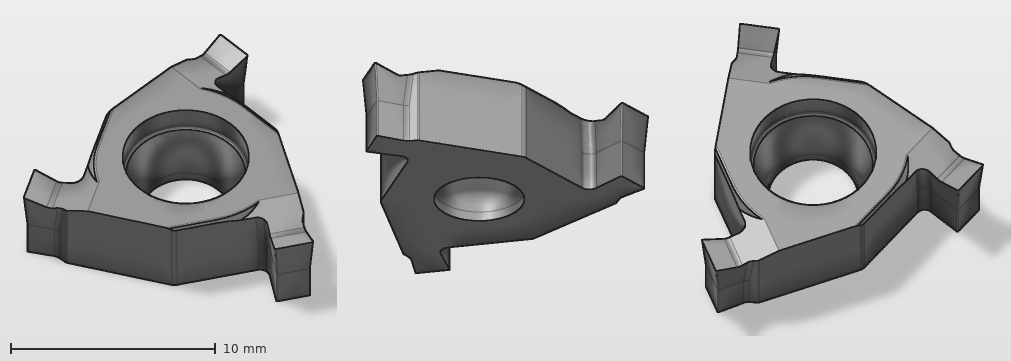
import cadquery as cq
import math

ARM_COUNT = 3
ARM_PITCH = 360 / ARM_COUNT

height = 4.08
long_flat = 4.77
short_flat = 4.5
corner_radius = 0.5
corner_pick = 0.15

arm_top = 3.99
relief_start = 1.97
side_relief = 0.12
front_relief = 0.15
tip_y = 6.9
tip_left = -4.71
tip_right = -2.75
tip_corner_radius = 0.06
flank_taper = 0.055
step_y = 4.7
step_angle = 26
step_outer_radius = 0.19
step_inner_radius = 0.58
root_radius = 0.48
arm_overlap = 0.58

groove_start = 3.63
valley_start = 5.47
valley_end = 5.76
valley_edge_z = 3.57
valley_z = 3.54
clearance = 0.72
reach = 8.64

bevel_width = 0.23
bevel_break = 0.13
bevel_break_drop = 0.03
bevel_drop = 0.122
cone_radius = 4.46
cone_x = -0.4
cone_bottom = 2.88

hole_diameter = 4.4
bore_diameter = 6.16
seat_diameter = 5.83
bore_floor = 3.01
seat_top = 2.84
seat_bottom = 0.5
seat_crown = 0.25
floor_hollow = 0.05


def around(shape):
    """Repeat an arm feature about the Z axis."""
    copies = shape
    for index in range(1, ARM_COUNT):
        copies = copies.union(shape.rotate((0, 0, 0), (0, 0, 1), index * ARM_PITCH))
    return copies


def flat_prism(flat_x, flat_y):
    """Prism bounded by the long flat at -X and the short flat at +Y."""
    return (
        cq.Workplane("XY")
        .moveTo(flat_x, flat_y)
        .lineTo(reach, flat_y)
        .lineTo(reach, -reach)
        .lineTo(flat_x, -reach)
        .close()
        .extrude(height)
    )


def make_body():
    prism = flat_prism(-long_flat, short_flat)
    body = prism
    for index in range(1, ARM_COUNT):
        body = body.intersect(prism.rotate((0, 0, 0), (0, 0, 1), index * ARM_PITCH))

    corner_x = 2 * long_flat - math.sqrt(3) * short_flat
    for index in range(ARM_COUNT):
        angle = math.radians(index * ARM_PITCH)
        x = corner_x * math.cos(angle) - short_flat * math.sin(angle)
        y = corner_x * math.sin(angle) + short_flat * math.cos(angle)
        corner = cq.selectors.BoxSelector(
            (x - corner_pick, y - corner_pick, 0), (x + corner_pick, y + corner_pick, height)
        )
        body = body.edges("|Z").edges(corner).fillet(corner_radius)
    return body


def rounded_corner(outline, before, corner, after, radius):
    """Draw up to a corner and round it with an arc tangent to both of its sides."""
    corner = cq.Vector(*corner)
    back = (cq.Vector(*before) - corner).normalized()
    ahead = (cq.Vector(*after) - corner).normalized()
    half_angle = back.getAngle(ahead) / 2
    setback = radius / math.tan(half_angle)
    to_middle = radius / math.sin(half_angle) - radius
    start = corner + back * setback
    middle = corner + (back + ahead).normalized() * to_middle
    end = corner + ahead * setback
    return outline.lineTo(start.x, start.y).threePointArc(
        (middle.x, middle.y), (end.x, end.y)
    )


def arm_outline(plane, side_inset, front_inset):
    """Closed arm outline, drawn in from the top size by the given insets."""
    left = tip_left + side_inset
    right = tip_right - side_inset
    tip = tip_y - front_inset
    buried_y = short_flat - arm_overlap

    step_run = math.tan(math.radians(step_angle))
    step_end_y = (left + long_flat + flank_taper * tip_y + step_run * step_y) / (
        step_run + flank_taper
    )
    step_end = (step_run * (step_end_y - step_y) - long_flat, step_end_y)
    step_start = (-long_flat, step_y)
    root = (right - flank_taper * (tip_y - short_flat), short_flat)
    root_end_x = root[0] + 2 * root_radius

    outline = plane.moveTo(-long_flat, buried_y)
    outline = rounded_corner(
        outline, (-long_flat, buried_y), step_start, step_end, step_outer_radius
    )
    outline = rounded_corner(outline, step_start, step_end, (left, tip_y), step_inner_radius)
    outline = (
        outline.lineTo(left + flank_taper * front_inset, tip)
        .lineTo(right - flank_taper * front_inset, tip)
    )
    outline = rounded_corner(
        outline, (right, tip_y), root, (root_end_x, short_flat), root_radius
    )
    return outline.lineTo(root_end_x, short_flat).lineTo(root_end_x, buried_y).close()


def make_arm():
    base = arm_outline(cq.Workplane("XY"), side_relief, front_relief).extrude(relief_start)
    lower = arm_outline(
        cq.Workplane("XY").workplane(offset=relief_start), side_relief, front_relief
    )
    upper = arm_outline(lower.workplane(offset=arm_top - relief_start), 0, 0)
    relieved = upper.loft(ruled=True)
    arm = base.union(relieved)
    tip_zone = cq.selectors.BoxSelector(
        (-reach, tip_y - 2 * front_relief, 0), (reach, tip_y + clearance, height)
    )
    return arm.edges(tip_zone).edges("not(#Z)").fillet(tip_corner_radius)


def make_groove():
    """Space above the ramp, the rounded valley and the rising tip face."""
    valley_middle = (valley_start + valley_end) / 2
    groove = (
        cq.Workplane("YZ", origin=(-reach, 0, 0))
        .moveTo(groove_start, height)
        .lineTo(valley_start, valley_edge_z)
        .threePointArc((valley_middle, valley_z), (valley_end, valley_edge_z))
        .lineTo(tip_y, arm_top)
        .lineTo(tip_y + clearance, arm_top)
        .lineTo(tip_y + clearance, height + clearance)
        .lineTo(groove_start, height + clearance)
        .close()
        .extrude(2 * reach)
    )
    return groove.cut(make_bevel_guard())


def bevel_profile(plane, inner, top_edge):
    """Section under the bevel, from an inner position out past the top edge."""
    break_out = top_edge + bevel_width - bevel_break
    break_z = height - bevel_break_drop
    slope = (bevel_drop - bevel_break_drop) / bevel_break
    foot = break_out + (break_z - cone_bottom) / slope
    return (
        plane.moveTo(inner, cone_bottom)
        .lineTo(foot, cone_bottom)
        .lineTo(break_out, break_z)
        .lineTo(top_edge, height)
        .lineTo(inner, height)
        .close()
    )


def make_bevel_guard():
    """Material left under the straight bevel and its cone, which limits the groove."""
    bevel_top = short_flat - bevel_width
    straight_plane = cq.Workplane("YZ", origin=(cone_x, 0, 0))
    straight = bevel_profile(straight_plane, 0, bevel_top).extrude(reach)
    cone_plane = cq.Workplane("XZ", origin=(cone_x, bevel_top - cone_radius, 0))
    cone = bevel_profile(cone_plane, 0, cone_radius).revolve(360, (0, 0), (0, 1))
    return straight.union(cone)


def bowed_middle(start, end, bow):
    """Middle of an arc that bows to the right of the chord from start to end."""
    run = end[0] - start[0]
    rise = end[1] - start[1]
    chord = math.hypot(run, rise)
    return (
        (start[0] + end[0]) / 2 + bow * rise / chord,
        (start[1] + end[1]) / 2 - bow * run / chord,
    )


def make_screw_hole():
    """Stepped bore with a rounded funnel as the screw seat."""
    hole_radius = hole_diameter / 2
    bore_radius = bore_diameter / 2
    seat_radius = seat_diameter / 2
    seat_middle = bowed_middle(
        (hole_radius, seat_bottom), (seat_radius, seat_top), -seat_crown
    )
    floor_middle = bowed_middle(
        (seat_radius, seat_top), (bore_radius, bore_floor), floor_hollow
    )
    return (
        cq.Workplane("XZ")
        .moveTo(0, 0)
        .lineTo(hole_radius, 0)
        .lineTo(hole_radius, seat_bottom)
        .threePointArc(seat_middle, (seat_radius, seat_top))
        .threePointArc(floor_middle, (bore_radius, bore_floor))
        .lineTo(bore_radius, height)
        .lineTo(0, height)
        .close()
        .revolve(360, (0, 0), (0, 1))
    )


blank = make_body().union(around(make_arm()))
groove = make_groove()
for arm_index in range(ARM_COUNT):
    blank = blank.cut(groove.rotate((0, 0, 0), (0, 0, 1), arm_index * ARM_PITCH))
result = blank.cut(make_screw_hole())